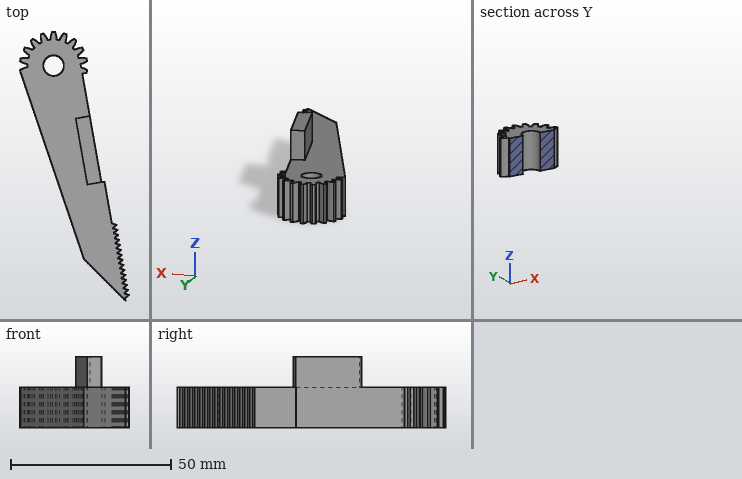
import cadquery as cq
import math

INCH = 25.4

ARM_TILT = 10.0
PLATE_THICKNESS = 0.5 * INCH
PIVOT_DIAMETER = 0.25 * INCH

GEAR_TEETH = 18
DIAMETRAL_PITCH = 24
MODULE = INCH / DIAMETRAL_PITCH
PITCH_RADIUS = GEAR_TEETH * MODULE / 2
TIP_RADIUS = PITCH_RADIUS + MODULE
DEDENDUM = 1.25 * MODULE
ROOT_RADIUS = PITCH_RADIUS - DEDENDUM
TIP_HALF_WIDTH = 0.46
PITCH_HALF_WIDTH = math.pi * MODULE / 4
ROOT_HALF_WIDTH = 1.0
TOOTH_STEP = 360.0 / GEAR_TEETH
FIRST_TOOTH_ANGLE = -10.0
SECTOR_TEETH = 11
TOOTH_SINK = 0.5

ARM_LENGTH = 3.0 * INCH
SAW_EDGE = 9.40
NECK_EDGE = 8.43
HEEL_ALONG = 61.1
HEEL_ACROSS = -1.18

SAW_TEETH = 15
SAW_PITCH = INCH / 16
SAW_DEPTH = SAW_PITCH * math.sqrt(3) / 2
SAW_START = ARM_LENGTH - (SAW_TEETH + 0.5) * SAW_PITCH

BLOCK_START = 0.6875 * INCH
BLOCK_END = 38.4
BLOCK_WIDTH = 4.48
BLOCK_HEIGHT = 0.375 * INCH


def arm_point(along, across):
    """Point (x, y) given by its position along and across the tilted arm."""
    tilt = math.radians(ARM_TILT)
    x = along * math.sin(tilt) + across * math.cos(tilt)
    y = -along * math.cos(tilt) + across * math.sin(tilt)
    return (x, y)


def flank_point(radius, half_width, side):
    """Point at a given radius on one flank (side is +1 or -1) of a tooth pointing along +X."""
    return (math.sqrt(radius**2 - half_width**2), side * half_width)


def gear_tooth(angle):
    """One gear tooth: a rounded tip between two arc flanks, rooted inside the gear disc."""
    low_root = flank_point(ROOT_RADIUS, ROOT_HALF_WIDTH, -1)
    low_middle = flank_point(PITCH_RADIUS, PITCH_HALF_WIDTH, -1)
    low_tip = flank_point(TIP_RADIUS, TIP_HALF_WIDTH, -1)
    high_tip = flank_point(TIP_RADIUS, TIP_HALF_WIDTH, 1)
    high_middle = flank_point(PITCH_RADIUS, PITCH_HALF_WIDTH, 1)
    high_root = flank_point(ROOT_RADIUS, ROOT_HALF_WIDTH, 1)
    tooth = (
        cq.Workplane("XY")
        .moveTo(ROOT_RADIUS - TOOTH_SINK, -ROOT_HALF_WIDTH)
        .lineTo(*low_root)
        .threePointArc(low_middle, low_tip)
        .threePointArc((TIP_RADIUS, 0), high_tip)
        .threePointArc(high_middle, high_root)
        .lineTo(ROOT_RADIUS - TOOTH_SINK, ROOT_HALF_WIDTH)
        .close()
        .extrude(PLATE_THICKNESS)
    )
    return tooth.rotate((0, 0, 0), (0, 0, 1), angle)


def gear_sector():
    sector = cq.Workplane("XY").circle(ROOT_RADIUS).extrude(PLATE_THICKNESS)
    for index in range(SECTOR_TEETH):
        sector = sector.union(gear_tooth(FIRST_TOOTH_ANGLE + index * TOOTH_STEP))
    return sector


def arm():
    """Tapered arm with its stepped, toothed cutting edge."""
    outline = [
        arm_point(0, -TIP_RADIUS),
        arm_point(0, NECK_EDGE),
        arm_point(BLOCK_END, NECK_EDGE),
        arm_point(BLOCK_END, SAW_EDGE),
        arm_point(SAW_START, SAW_EDGE),
    ]
    for index in range(SAW_TEETH):
        tooth_start = SAW_START + index * SAW_PITCH
        outline.append(arm_point(tooth_start + SAW_PITCH / 2, SAW_EDGE + SAW_DEPTH))
        outline.append(arm_point(tooth_start + SAW_PITCH, SAW_EDGE))
    outline.append(arm_point(ARM_LENGTH, SAW_EDGE))
    outline.append(arm_point(HEEL_ALONG, HEEL_ACROSS))
    return cq.Workplane("XY").polyline(outline).close().extrude(PLATE_THICKNESS)


def block():
    """Upright block, carried down through the plate so that it joins fully."""
    corners = [
        arm_point(BLOCK_START, NECK_EDGE - BLOCK_WIDTH),
        arm_point(BLOCK_START, NECK_EDGE),
        arm_point(BLOCK_END, NECK_EDGE),
        arm_point(BLOCK_END, NECK_EDGE - BLOCK_WIDTH),
    ]
    return cq.Workplane("XY").polyline(corners).close().extrude(PLATE_THICKNESS + BLOCK_HEIGHT)


pivot_hole = cq.Workplane("XY").circle(PIVOT_DIAMETER / 2).extrude(PLATE_THICKNESS)

result = gear_sector().union(arm()).union(block()).cut(pivot_hole)